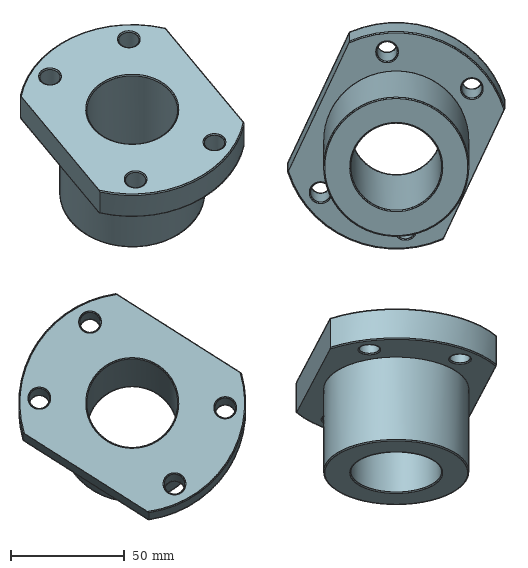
import cadquery as cq
import math

flange_diameter = 100.0
flange_width = 75.0
flange_thickness = 15.0
total_height = 56.0
sleeve_diameter = 64.0
bore_diameter = 40.0
edge_chamfer = 0.5

bolt_hole_diameter = 9.0
bolt_circle_diameter = 82.0
bolt_angle = 30.0

sleeve_length = total_height - flange_thickness


def make_flange():
    """Round flange with chamfered rims, trimmed by two flats parallel to X."""
    disc = (
        cq.Workplane("XY")
        .workplane(offset=sleeve_length)
        .circle(flange_diameter / 2)
        .extrude(flange_thickness)
        .edges()
        .chamfer(edge_chamfer)
    )
    flats = cq.Workplane("XY").box(
        flange_diameter, flange_width, total_height, centered=(True, True, False)
    )
    return disc.intersect(flats)


def make_sleeve():
    """Cylinder below the flange, chamfered at its lower end."""
    return (
        cq.Workplane("XY")
        .circle(sleeve_diameter / 2)
        .extrude(sleeve_length)
        .faces("<Z")
        .edges()
        .chamfer(edge_chamfer)
    )


def hole_cutter(diameter, bottom, top):
    """Cylinder from bottom to top that flares at both ends to chamfer the hole."""
    radius = diameter / 2
    flare_radius = radius + edge_chamfer
    profile = [
        (0, bottom),
        (flare_radius, bottom),
        (radius, bottom + edge_chamfer),
        (radius, top - edge_chamfer),
        (flare_radius, top),
        (0, top),
    ]
    return cq.Workplane("XZ").polyline(profile).close().revolve(360, (0, 0), (0, 1))


result = make_flange().union(make_sleeve())
result = result.cut(hole_cutter(bore_diameter, 0, total_height))

bolt_hole = hole_cutter(bolt_hole_diameter, sleeve_length, total_height)
bolt_x = bolt_circle_diameter / 2 * math.cos(math.radians(bolt_angle))
bolt_y = bolt_circle_diameter / 2 * math.sin(math.radians(bolt_angle))
for x_side in (-1, 1):
    for y_side in (-1, 1):
        result = result.cut(bolt_hole.translate((x_side * bolt_x, y_side * bolt_y, 0)))